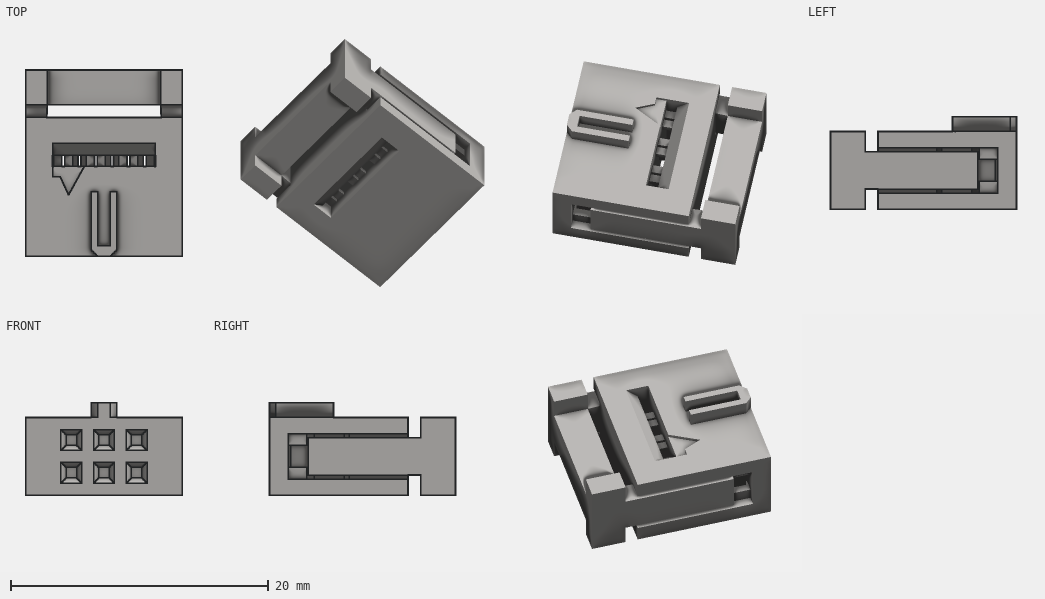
import cadquery as cq


width = 12.2
total_length = 14.5
body_length = 10.8
body_height = 6.08
center_x = width / 2
center_z = body_height / 2
pin_pitch = 2.54
wire_pitch = pin_pitch / 2

key_height = 1.13
key_width = 2.0
key_length = 5.0
key_slot_width = 0.99
key_slot_start = 0.81
key_chamfer = (key_width - key_slot_width) / 2

opening_size = 1.62
opening_floor_size = 0.81
opening_depth = (opening_size - opening_floor_size) / 2
columns = 3
rows = 2

passage_width = 8.0
passage_start = 6.99
passage_end = 7.85
lead_in = 0.94

fork_width = 1.48
fork_gap = 0.2
fork_thickness = 0.4
fork_embed = 0.15

arrow_depth = 0.25
arrow_band_width = 0.8
arrow_shoulder_x = 0.6
arrow_tip_x = 1.25
arrow_tip_length = 2.22
arrow_base_width = 2.46

channel_start = 1.46
channel_height = 3.54
shallow_depth = 0.7
middle_depth = 1.29
deep_depth = 1.65
first_step = 2.9
second_step = 5.85

window_height = 1.71
latch_nose_start = 1.65

clip_start = 11.77
clip_height = 2.9
post_width = 1.7
arm_start = 3.02


def box(x, y, z):
    """Box spanning the given (start, end) pairs."""
    block = cq.Workplane("XY").box(x[1] - x[0], y[1] - y[0], z[1] - z[0], centered=False)
    return block.translate((x[0], y[0], z[0]))


def around(center, size):
    """Start and end of a span centred on a place."""
    return (center - size / 2, center + size / 2)


def prism(points, z):
    """Outline in X and Y, extruded between the (start, end) heights."""
    return cq.Workplane("XY").workplane(offset=z[0]).polyline(points).close().extrude(z[1] - z[0])


def on_both_sides(left):
    """The left-hand shape together with its mirror image on the right."""
    return left.union(left.mirror("YZ", (center_x, 0, 0)))


def make_key():
    left, right = around(center_x, key_width)
    z = (body_height, body_height + key_height)
    outline = [
        (left, key_length),
        (left, key_chamfer),
        (left + key_chamfer, 0),
        (right - key_chamfer, 0),
        (right, key_chamfer),
        (right, key_length),
    ]
    slot = box(around(center_x, key_slot_width), (key_slot_start, key_length), z)
    return prism(outline, z).cut(slot)


def make_openings():
    centers = [
        (center_x + (column - (columns - 1) / 2) * pin_pitch, center_z + (row - (rows - 1) / 2) * pin_pitch)
        for column in range(columns)
        for row in range(rows)
    ]
    openings = cq.Workplane("XY")
    for x, z in centers:
        funnel = (
            cq.Workplane("XZ", origin=(x, 0, z))
            .rect(opening_size, opening_size)
            .workplane(offset=-opening_depth)
            .rect(opening_floor_size, opening_floor_size)
            .loft(ruled=True)
        )
        openings = openings.add(funnel)
    return openings.combine()


def make_passage():
    outline = [
        (passage_start, 0),
        (passage_end + lead_in, 0),
        (passage_end, lead_in),
        (passage_end, body_height - lead_in),
        (passage_end + lead_in, body_height),
        (passage_start, body_height),
    ]
    left = around(center_x, passage_width)[0]
    return cq.Workplane("YZ", origin=(left, 0, 0)).polyline(outline).close().extrude(passage_width)


def make_arrow():
    left = around(center_x, passage_width)[0]
    outline = [
        (left, passage_start),
        (left, passage_start - arrow_band_width),
        (left + arrow_shoulder_x, passage_start - arrow_band_width),
        (left + arrow_tip_x, passage_start - arrow_tip_length),
        (left + arrow_base_width, passage_start),
    ]
    return prism(outline, (body_height - arrow_depth, body_height))


def make_forks():
    wires = columns * rows
    y = (passage_start - fork_embed, passage_end + fork_embed)
    forks = cq.Workplane("XY")
    for wire in range(wires):
        x = center_x + (wire - (wires - 1) / 2) * wire_pitch
        row_side = 1 if wire % 2 == 0 else -1
        z = around(center_z + row_side * pin_pitch / 2, fork_thickness)
        gap = box(around(x, fork_gap), (passage_start, passage_end), z)
        forks = forks.add(box(around(x, fork_width), y, z).cut(gap))
    return forks.combine()


def channel_floor():
    """Floor of the left channel from the first step to the rear of the body."""
    return [
        (shallow_depth, first_step),
        (middle_depth, first_step + middle_depth - shallow_depth),
        (middle_depth, second_step),
        (deep_depth, second_step + deep_depth - middle_depth),
        (deep_depth, body_length),
    ]


def make_channel():
    outline = [(0, channel_start), (shallow_depth, channel_start)] + channel_floor() + [(0, body_length)]
    return prism(outline, around(center_z, channel_height))


def make_window():
    """Window through the channel floor, with the clip's latch nose left standing at its bottom."""
    z = around(center_z, window_height)
    nose_end = first_step + middle_depth - shallow_depth
    front_gap = box((0, deep_depth), (channel_start, latch_nose_start), z)
    return front_gap.union(box((0, middle_depth), (latch_nose_start, nose_end), z))


def make_arm():
    """Clip arm resting on the channel floor, widening to the post behind the body."""
    tip_depth = shallow_depth + arm_start - first_step
    floor = channel_floor()[1:]
    outline = [(0, arm_start), (tip_depth, arm_start)] + floor + [(post_width, clip_start), (0, clip_start)]
    return prism(outline, around(center_z, clip_height))


def make_clip():
    y = (clip_start, total_length)
    post = box((0, post_width), y, (0, body_height))
    bridge = box((0, width), y, around(center_z, clip_height))
    return bridge.union(on_both_sides(post.union(make_arm())))


body = box((0, width), (0, body_length), (0, body_height)).union(make_key())
body = body.cut(make_openings()).cut(make_passage()).cut(make_arrow())
body = body.cut(on_both_sides(make_channel().union(make_window())))
result = body.union(make_forks()).union(make_clip())